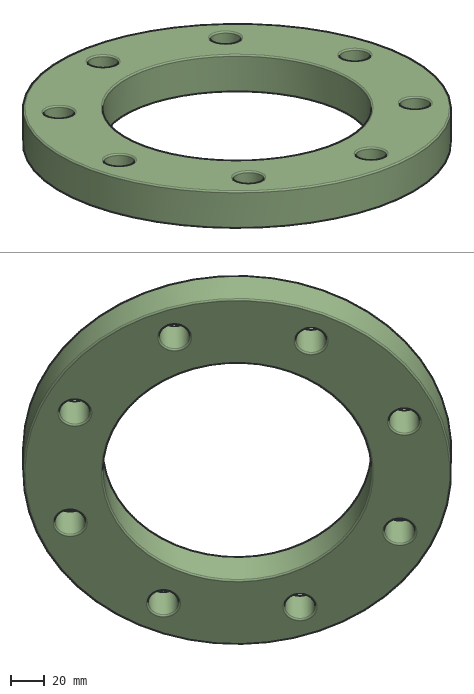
import cadquery as cq

outer_diameter = 252.0
bore_diameter = 158.0
thickness = 24.0

bolt_circle_diameter = 210.0
bolt_hole_diameter = 18.0
bolt_hole_count = 8

edge_radius = 1.0


def flange_ring():
    """Plain ring standing on Z = 0."""
    return (
        cq.Workplane("XY")
        .circle(outer_diameter / 2)
        .circle(bore_diameter / 2)
        .extrude(thickness)
    )


def bolt_holes():
    """Cylinders through the full thickness, the first one on the +X axis."""
    return (
        cq.Workplane("XY")
        .polarArray(bolt_circle_diameter / 2, 0, 360, bolt_hole_count, rotate=False)
        .circle(bolt_hole_diameter / 2)
        .extrude(thickness)
    )


drilled_ring = flange_ring().cut(bolt_holes())
result = drilled_ring.faces("<Z or >Z").edges().fillet(edge_radius)